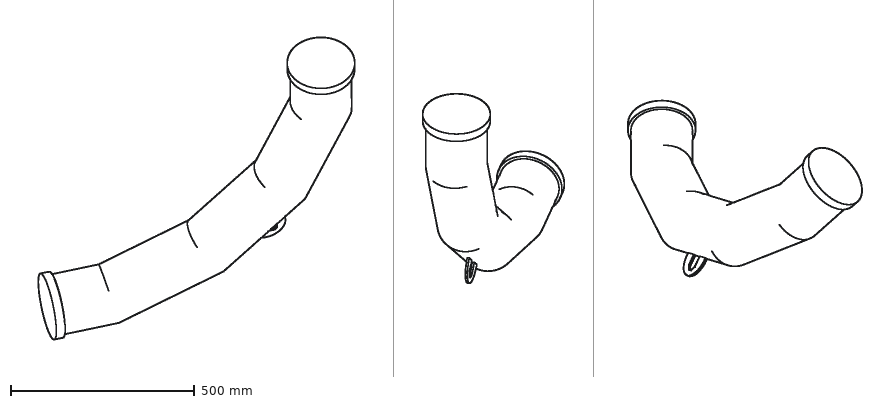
import cadquery as cq
import math

PIPE_DIAMETER = 168.3
BEND_RADIUS = 750.0
MITRE_COUNT = 4
MITRE_TURN = math.radians(90.0 / MITRE_COUNT)

FLANGE_DIAMETER = 185.0
FLANGE_THICKNESS = 25.0

LUG_THICKNESS = 6.0
LUG_RADIUS = 55.0
LUG_CENTRE_OFFSET = 6.0
SLOT_WIDTH = 37.0
SLOT_REACH = 44.5
SLOT_CHAMFER = 12.5

PIPE_RADIUS = PIPE_DIAMETER / 2
SEGMENT_LENGTH = 2 * BEND_RADIUS * math.tan(MITRE_TURN / 2)


def bend_points():
    """Axis points as (y, z): top end, every mitre, then the horizontal end."""
    points = [(0.0, BEND_RADIUS)]
    y, z = 0.0, BEND_RADIUS - SEGMENT_LENGTH / 2
    points.append((y, z))
    for step in range(1, MITRE_COUNT):
        y -= SEGMENT_LENGTH * math.sin(step * MITRE_TURN)
        z -= SEGMENT_LENGTH * math.cos(step * MITRE_TURN)
        points.append((y, z))
    points.append((-BEND_RADIUS, 0.0))
    return points


def make_pipe():
    path = cq.Workplane("YZ").polyline(bend_points())
    section = cq.Workplane("XY", origin=(0, 0, BEND_RADIUS)).circle(PIPE_RADIUS)
    return section.sweep(path, transition="right")


def make_flange(centre, direction):
    plane = cq.Plane(origin=centre, xDir=(1, 0, 0), normal=direction)
    return cq.Workplane(plane).circle(FLANGE_DIAMETER / 2).extrude(FLANGE_THICKNESS)


def make_lug():
    """Round-ended plate on the middle segment, its slot starting at the pipe wall."""
    axis_to_corner = BEND_RADIUS * (math.sqrt(2) - 1)
    axis_y = -axis_to_corner / math.sqrt(2)
    axis_z = -axis_y
    lug_centre = PIPE_RADIUS + LUG_CENTRE_OFFSET
    slot_end = PIPE_RADIUS + SLOT_REACH
    slot_side = SLOT_WIDTH / 2
    plane = cq.Plane(origin=(0, axis_y, axis_z), xDir=(0, 1, -1), normal=(1, 0, 0))

    plate = (
        cq.Workplane(plane)
        .moveTo(0, -LUG_RADIUS)
        .lineTo(lug_centre, -LUG_RADIUS)
        .threePointArc((lug_centre + LUG_RADIUS, 0), (lug_centre, LUG_RADIUS))
        .lineTo(0, LUG_RADIUS)
        .close()
        .extrude(LUG_THICKNESS / 2, both=True)
    )
    slot = (
        cq.Workplane(plane)
        .moveTo(0, -slot_side)
        .lineTo(slot_end - SLOT_CHAMFER, -slot_side)
        .lineTo(slot_end, -slot_side + SLOT_CHAMFER)
        .lineTo(slot_end, slot_side - SLOT_CHAMFER)
        .lineTo(slot_end - SLOT_CHAMFER, slot_side)
        .lineTo(0, slot_side)
        .close()
        .extrude(LUG_THICKNESS / 2, both=True)
    )
    return plate.cut(slot)


top_flange = make_flange((0, 0, BEND_RADIUS), (0, 0, 1))
side_flange = make_flange((0, -BEND_RADIUS, 0), (0, -1, 0))

result = make_pipe().union(top_flange).union(side_flange).union(make_lug())